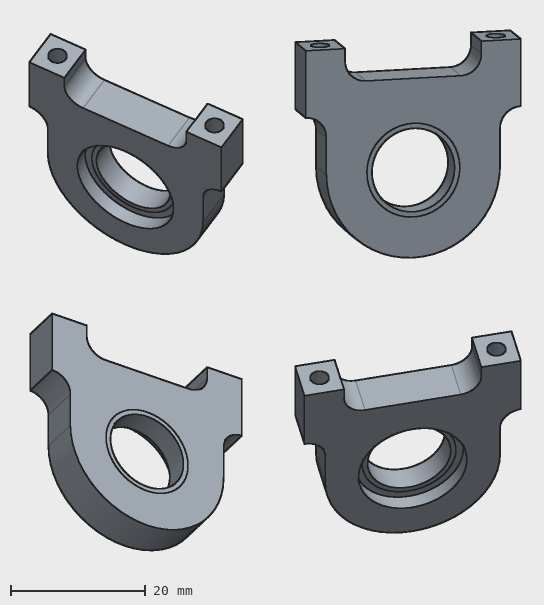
import cadquery as cq
import math

width = 33.02
height = 32.4
thickness = 6.35
cove_radius = 3.17
front_y = -thickness / 2
back_y = thickness / 2

half_width = width / 2
body_radius = half_width - cove_radius
top_z = height - body_radius
ear_height = 10.25
ear_width = 6.05
notch_depth = 5.1
notch_half_width = half_width - ear_width
ear_bottom_z = top_z - ear_height
notch_floor_z = top_z - notch_depth

recess_radius = 8.25
recess_depth = 2.38
bushing_outer_radius = 7.13
bushing_inner_radius = 6.35
bushing_front_y = front_y + recess_depth
bushing_length = back_y - bushing_front_y

screw_hole_radius = 1.4
screw_hole_depth = 6.6
drill_tip_angle = 118.0
screw_hole_x = half_width - ear_width / 2


def cylinder_along_y(radius, start_y, length):
    """Cylinder on the bore axis, running from start_y toward +Y."""
    return cq.Workplane("XZ", origin=(0, start_y, 0)).circle(radius).extrude(-length)


def housing_blank():
    """Round-bottomed plate with two ears, before any holes."""
    diagonal = cove_radius * math.sqrt(0.5)
    cove_center_z = ear_bottom_z - cove_radius
    notch_arc_x = notch_half_width - cove_radius
    notch_arc_z = notch_floor_z + cove_radius
    return (
        cq.Workplane("XZ", origin=(0, back_y, 0))
        .moveTo(-body_radius, 0)
        .threePointArc((0, -body_radius), (body_radius, 0))
        .lineTo(body_radius, cove_center_z)
        .threePointArc(
            (half_width - diagonal, cove_center_z + diagonal),
            (half_width, ear_bottom_z),
        )
        .lineTo(half_width, top_z)
        .lineTo(notch_half_width, top_z)
        .lineTo(notch_half_width, notch_arc_z)
        .threePointArc(
            (notch_arc_x + diagonal, notch_arc_z - diagonal),
            (notch_arc_x, notch_floor_z),
        )
        .lineTo(-notch_arc_x, notch_floor_z)
        .threePointArc(
            (-notch_arc_x - diagonal, notch_arc_z - diagonal),
            (-notch_half_width, notch_arc_z),
        )
        .lineTo(-notch_half_width, top_z)
        .lineTo(-half_width, top_z)
        .lineTo(-half_width, ear_bottom_z)
        .threePointArc(
            (-half_width + diagonal, cove_center_z + diagonal),
            (-body_radius, cove_center_z),
        )
        .close()
        .extrude(thickness)
    )


def drilled_hole(x):
    """Blind hole with a conical tip, going down from the top of an ear."""
    tip_length = screw_hole_radius / math.tan(math.radians(drill_tip_angle / 2))
    return (
        cq.Workplane("XZ")
        .moveTo(0, 0)
        .lineTo(screw_hole_radius, 0)
        .lineTo(screw_hole_radius, -screw_hole_depth)
        .lineTo(0, -screw_hole_depth - tip_length)
        .close()
        .revolve(360, (0, 0, 0), (0, 1, 0))
        .translate((x, 0, top_z))
    )


def make_housing():
    """Housing with a stepped bore for the bushing and a hole in each ear."""
    body = housing_blank()
    body = body.cut(cylinder_along_y(recess_radius, front_y, recess_depth))
    body = body.cut(cylinder_along_y(bushing_outer_radius, bushing_front_y, bushing_length))
    for x in (-screw_hole_x, screw_hole_x):
        body = body.cut(drilled_hole(x))
    return body


def make_bushing():
    """Plain sleeve from the recess floor to the back face."""
    sleeve = cylinder_along_y(bushing_outer_radius, bushing_front_y, bushing_length)
    return sleeve.cut(cylinder_along_y(bushing_inner_radius, bushing_front_y, bushing_length))


housing = make_housing()
bushing = make_bushing()

result = cq.Compound.makeCompound([housing.val(), bushing.val()])